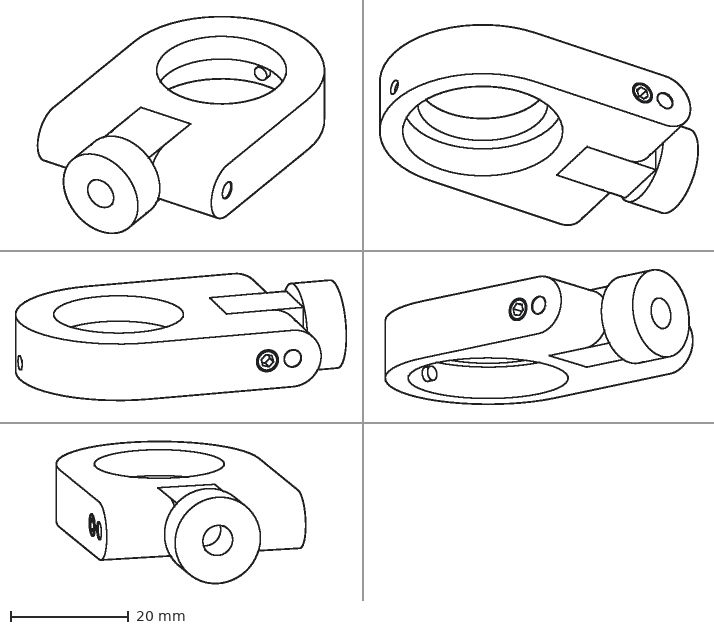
import cadquery as cq
import math

body_width = 35.0
body_thickness = 10.0
outer_radius = body_width / 2
bore_radius = 11.0
seat_radius = 13.55
seat_depth = 5.5

total_length = 55.6
front_y = outer_radius - total_length
head_diameter = 15.0
head_length = 6.9
head_back_y = front_y + head_length
block_width = 10.0
block_back_y = -17.6
head_hole_diameter = 5.2
head_hole_depth = 7.8
drill_tip_angle = 118.0

nose_radius = body_thickness / 2
pin_y = -25.65
pin_diameter = 3.0
pin_recess = 0.2

screw_y = -21.15
sleeve_diameter = 3.85
screw_diameter = 3.3
socket_across_flats = 1.95
socket_turn = 15
socket_depth = 2.2
screw_length = (body_width - block_width) / 2

retainer_diameter = 2.45
retainer_tip_y = 12.35
retainer_end_y = 16.7
retainer_z = -2.05


def x_cylinder(diameter, start_x, length, y):
    """Cylinder along +X at height zero."""
    return cq.Workplane("YZ", origin=(start_x, y, 0)).circle(diameter / 2).extrude(length)


def y_cylinder(diameter, start_y, length, z=0):
    """Cylinder along +Y on the centre plane."""
    return cq.Workplane("XZ", origin=(0, start_y, z)).circle(diameter / 2).extrude(-length)


def drill_tip_length(diameter):
    return diameter / 2 / math.tan(math.radians(drill_tip_angle / 2))


def drilled_hole(diameter, depth):
    """Blind hole along +X from the origin, ending in a drill-point cone."""
    radius = diameter / 2
    tip_x = depth + drill_tip_length(diameter)
    profile = cq.Workplane("XY").polyline([(0, 0), (0, radius), (depth, radius), (tip_x, 0)]).close()
    return profile.revolve(360, (0, 0, 0), (1, 0, 0))


def make_body():
    plate = (
        cq.Workplane("YZ", origin=(-body_width / 2, 0, 0))
        .moveTo(outer_radius, -nose_radius)
        .lineTo(pin_y, -nose_radius)
        .threePointArc((pin_y - nose_radius, 0), (pin_y, nose_radius))
        .lineTo(outer_radius, nose_radius)
        .close()
        .extrude(body_width)
    )
    outline = (
        cq.Workplane("XY", origin=(0, 0, -body_thickness / 2))
        .moveTo(-outer_radius, front_y)
        .lineTo(-outer_radius, 0)
        .threePointArc((0, outer_radius), (outer_radius, 0))
        .lineTo(outer_radius, front_y)
        .close()
        .extrude(body_thickness)
    )
    bottom = cq.Workplane("XY", origin=(0, 0, -body_thickness / 2))
    bore = bottom.circle(bore_radius).extrude(body_thickness)
    seat = bottom.circle(seat_radius).extrude(seat_depth)
    slot_length = block_back_y - front_y
    slot = cq.Workplane("XY").box(block_width, slot_length, body_thickness).translate(
        (0, block_back_y - slot_length / 2, 0)
    )
    pin_hole = x_cylinder(pin_diameter, -body_width / 2, body_width, pin_y)
    screw_hole = x_cylinder(sleeve_diameter, -body_width / 2, screw_length, screw_y)
    retainer_hole = y_cylinder(retainer_diameter, retainer_tip_y, outer_radius - retainer_tip_y, retainer_z)
    body = plate.intersect(outline)
    for cutter in (bore, seat, slot, pin_hole, screw_hole, retainer_hole):
        body = body.cut(cutter)
    return body


def make_swivel():
    block_length = block_back_y - head_back_y
    block = cq.Workplane("XY").box(block_width, block_length, body_thickness).translate(
        (0, head_back_y + block_length / 2, 0)
    )
    head = y_cylinder(head_diameter, front_y, head_length)
    head_hole = drilled_hole(head_hole_diameter, head_hole_depth).rotate((0, 0, 0), (0, 0, 1), 90)
    pin_hole = x_cylinder(pin_diameter, -block_width / 2, block_width, pin_y)
    return block.union(head).cut(head_hole.translate((0, front_y, 0))).cut(pin_hole)


def make_cross_pin():
    length = body_width - 2 * pin_recess
    return x_cylinder(pin_diameter, -length / 2, length, pin_y)


def make_sleeve():
    sleeve = x_cylinder(sleeve_diameter, -body_width / 2, screw_length, screw_y)
    screw_hole = x_cylinder(screw_diameter, -body_width / 2, screw_length, screw_y)
    return sleeve.cut(screw_hole)


def make_side_screw():
    """Headless screw with a hexagon socket that ends in a drill point."""
    screw = x_cylinder(screw_diameter, -body_width / 2, screw_length, screw_y)
    across_corners = socket_across_flats / math.cos(math.radians(30))
    hexagon = cq.Workplane("YZ").polygon(6, across_corners).extrude(screw_length)
    hexagon = hexagon.rotate((0, 0, 0), (1, 0, 0), socket_turn)
    socket = hexagon.intersect(drilled_hole(across_corners, socket_depth))
    return screw.cut(socket.translate((-body_width / 2, screw_y, 0)))


def make_retaining_pin():
    return y_cylinder(retainer_diameter, retainer_tip_y, retainer_end_y - retainer_tip_y, retainer_z)


body = make_body()
swivel = make_swivel()
cross_pin = make_cross_pin()
sleeve = make_sleeve()
side_screw = make_side_screw()
retaining_pin = make_retaining_pin()

result = cq.Compound.makeCompound(
    [
        body.val(),
        swivel.val(),
        cross_pin.val(),
        sleeve.val(),
        side_screw.val(),
        retaining_pin.val(),
    ]
)